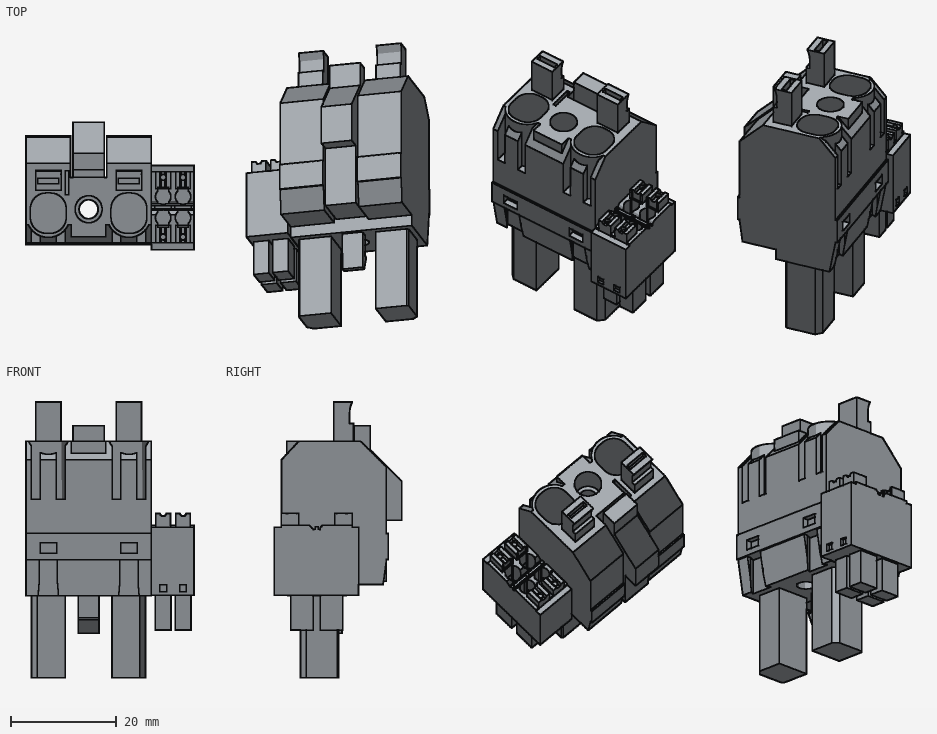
import cadquery as cq
import math


HOUSING_WIDTH = 23.7
HOUSING_HALF_WIDTH = HOUSING_WIDTH / 2
HOUSING_TOP = 44.7
HOUSING_BOTTOM = 15.5
FRONT_Y = -6.3
BACK_Y = 13.55
TOP_FRONT_Y = -2.95
TOP_BACK_Y = 8.65
FRONT_CHAMFER_Z = 41.15
BACK_CHAMFER_DROP = BACK_Y - TOP_BACK_Y
BAND_TOP = 27.3
BAND_BOTTOM = 22.35
BAND_HEIGHT = 0.35
TAPER_FRONT_Y = -5.05
TAPER_BACK_Y = 12.9
STEP_Y = 6.0
STEP_Z = 17.6

POLE_OFFSET = 7.6
POLE_SIDES = (-1, 1)

WIRE_SIZE = (6.8, 7.6)
WIRE_CORNER_RADIUS = 2.95
WIRE_Y = -0.75
WIRE_DEPTH = 15.65
COLLAR_Y = -1.15
COLLAR_RADIUS = 4.15
NOTCH_OUTER = 3.2
NOTCH_INNER = 1.5
NOTCH_BOTTOM = 33.7
NOTCH_BACK_Y = -3.65

BORE_RADIUS = 1.75
COUNTERBORE_RADIUS = 2.55
COUNTERBORE_DEPTH = 6.25
BLOCK_HALF_WIDTH = 3.3
BLOCK_FRONT_Y = -5.15
BLOCK_BOTTOM = 40.65

CODING_SLOT_X = (-4.4, -3.75)
CODING_SLOT_Y = (2.75, 7.3)
CODING_SLOT_DEPTH = 2.1

WINDOW_HALF_WIDTH = 1.55
WINDOW_Z = (23.5, 25.5)
WINDOW_DEPTH = 1.25

GROOVE_MOUTH_HALF = 1.7
GROOVE_INNER_HALF = 2.35
GROOVE_NECK_Y = -5.5
GROOVE_FLOOR_Y = -4.15

LATCH_SLOT_HALF = 3.4
LATCH_HALF_WIDTH = 2.95
LATCH_FRONT_Y = 7.45
LATCH_TOP = 47.65
LATCH_TOP_BACK_Y = 10.55
LATCH_SHOULDER_Z = 43.05
LATCH_GRIP_Y = 16.45
LATCH_GRIP_TOP = LATCH_SHOULDER_Z - (LATCH_GRIP_Y - LATCH_TOP_BACK_Y)
LATCH_GRIP_BOTTOM = 29.75
LATCH_BOTTOM = 18.25

CONTACT_X = (4.4, 10.8)
CONTACT_Y = (-2.7, 4.55)
CONTACT_CHAMFER = 1.1
CONTACT_SMALL_CHAMFER = 0.3

HOOK_HALF_WIDTH = 2.0
HOOK_BACK_Y = 5.15
HOOK_STEM_Y = 3.4
HOOK_LIP_Y = 2.6
HOOK_TIP_Y = 3.9
HOOK_TIP_Z = 8.4
HOOK_LIP_Z = (11.0, 11.35)

LEVER_HALF_WIDTH = 2.4
LEVER_FRONT_Y = 3.6
LEVER_BACK_Y = 7.35
LEVER_TOP = 52.1
LEVER_BOTTOM = 39.1
LEVER_STEP_Z = 48.05
LEVER_NECK_Y = 6.6
LEVER_CURVE_Z = 50.0
LEVER_TIP_Y = 7.15
LEVER_SLOT_SIZE = (3.95, 1.0)
LEVER_SLOT_Y = 5.3
LEVER_SLOT_DEPTH = 1.55

MODULE_WIDTH = 8.1
MODULE_X = (HOUSING_HALF_WIDTH, HOUSING_HALF_WIDTH + MODULE_WIDTH)
MODULE_Y = (-7.65, 8.3)
MODULE_BOTTOM = 15.6
MODULE_TOP = 28.85
LEDGE_Z = 28.45
ROW_MID_Y = 0.39
ROW_DIRECTIONS = (-1, 1)
SIGNAL_X = (14.05, 17.8)
SIGNAL_WIRE_RADIUS = 1.45
SIGNAL_WIRE_OFFSET = 2.0
SIGNAL_CLAMP_WIDTH = 2.05
SIGNAL_WIRE_DEPTH = 6.25
VALLEY_HALF = 0.6
VALLEY_EDGE = 1.45
VALLEY_DEPTH = VALLEY_EDGE - VALLEY_HALF
RIB_HALF = 0.3
RIB_DROP = 0.3
RIB_TOP = MODULE_TOP - RIB_DROP
RIB_POCKET_WIDTH = 3.15
RIB_POCKET_DEPTH = 0.2
TEST_WINDOW_WIDTH = 1.3
TEST_WINDOW_Z = (16.25, 17.6)
TEST_WINDOW_DEPTH = 0.55
SIGNAL_CONTACT_WIDTH = 3.0
SIGNAL_CONTACT_BOTTOM = 9.0
SIGNAL_CONTACT_ROWS = ((-4.55, -0.3), (1.1, 5.3))

BUTTON_WIDTH = 2.8
BUTTON_INNER = 3.45
BUTTON_OUTER = 6.7
BUTTON_TOP = 31.05
BUTTON_BOTTOM = 24.5
BUTTON_NOTCH = 0.3
GROOVE_TOP_HALF = 0.6
GROOVE_BOTTOM_HALF = 0.3
GROOVE_DEPTH = 0.45
PROBE_RADIUS = 0.55
PROBE_OFFSET = 5.65
PROBE_DEPTH = 1.05


def block(xs, ys, zs):
    """Box between two limits along each axis."""
    x0, x1 = min(xs), max(xs)
    y0, y1 = min(ys), max(ys)
    z0, z1 = min(zs), max(zs)
    return cq.Workplane("XY").box(x1 - x0, y1 - y0, z1 - z0, centered=False).translate((x0, y0, z0))


def around(centre, half):
    """Limits at an equal distance on both sides of a centre."""
    return (centre - half, centre + half)


def side_profile(points, xs):
    """Prism along X from an outline of (Y, Z) points."""
    return cq.Workplane("YZ").polyline(points).close().extrude(xs[1] - xs[0]).translate((xs[0], 0, 0))


def cylinder(x, y, radius, zs):
    return cq.Workplane("XY", origin=(x, y, zs[0])).circle(radius).extrude(zs[1] - zs[0])


def housing_shell():
    outline = [
        (TOP_FRONT_Y, HOUSING_TOP),
        (TOP_BACK_Y, HOUSING_TOP),
        (BACK_Y, HOUSING_TOP - BACK_CHAMFER_DROP),
        (BACK_Y, BAND_TOP),
        (BACK_Y + BAND_HEIGHT, BAND_TOP),
        (BACK_Y + BAND_HEIGHT, BAND_BOTTOM),
        (BACK_Y, BAND_BOTTOM),
        (TAPER_BACK_Y, STEP_Z),
        (STEP_Y, STEP_Z),
        (STEP_Y, HOUSING_BOTTOM),
        (TAPER_FRONT_Y, HOUSING_BOTTOM),
        (FRONT_Y, BAND_BOTTOM),
        (FRONT_Y - BAND_HEIGHT, BAND_BOTTOM),
        (FRONT_Y - BAND_HEIGHT, BAND_TOP),
        (FRONT_Y, BAND_TOP),
        (FRONT_Y, FRONT_CHAMFER_Z),
    ]
    return side_profile(outline, around(0, HOUSING_HALF_WIDTH))


def front_notches(pole_x):
    """Two upright notches that lay the collar of a wire entry open."""
    ys = (FRONT_Y, NOTCH_BACK_Y)
    zs = (NOTCH_BOTTOM, HOUSING_TOP)
    left = block((pole_x - NOTCH_OUTER, pole_x - NOTCH_INNER), ys, zs)
    right = block((pole_x + NOTCH_INNER, pole_x + NOTCH_OUTER), ys, zs)
    return left.union(right)


def wire_entry(pole_x):
    """Rounded rectangular entry, cut from the top."""
    hole = cq.Workplane("XY", origin=(pole_x, WIRE_Y, HOUSING_TOP)).rect(*WIRE_SIZE).extrude(-WIRE_DEPTH)
    return hole.edges("|Z").fillet(WIRE_CORNER_RADIUS)


def taper_groove(pole_x):
    mouth_y = FRONT_Y - BAND_HEIGHT
    outline = [
        (pole_x - GROOVE_MOUTH_HALF, mouth_y),
        (pole_x + GROOVE_MOUTH_HALF, mouth_y),
        (pole_x + GROOVE_MOUTH_HALF, GROOVE_NECK_Y),
        (pole_x + GROOVE_INNER_HALF, GROOVE_FLOOR_Y),
        (pole_x - GROOVE_INNER_HALF, GROOVE_FLOOR_Y),
        (pole_x - GROOVE_MOUTH_HALF, GROOVE_NECK_Y),
    ]
    base = cq.Workplane("XY", origin=(0, 0, HOUSING_BOTTOM))
    return base.polyline(outline).close().extrude(BAND_BOTTOM - HOUSING_BOTTOM)


def latch():
    outline = [
        (LATCH_FRONT_Y, LATCH_TOP),
        (LATCH_TOP_BACK_Y, LATCH_TOP),
        (LATCH_TOP_BACK_Y, LATCH_SHOULDER_Z),
        (LATCH_GRIP_Y, LATCH_GRIP_TOP),
        (LATCH_GRIP_Y, LATCH_GRIP_BOTTOM),
        (BACK_Y, LATCH_GRIP_BOTTOM),
        (BACK_Y, LATCH_BOTTOM),
        (LATCH_FRONT_Y, LATCH_BOTTOM),
    ]
    xs = around(0, LATCH_HALF_WIDTH)
    bridge = block(xs, (STEP_Y, LATCH_FRONT_Y), (LATCH_BOTTOM, LATCH_GRIP_BOTTOM))
    return side_profile(outline, xs).union(bridge)


def power_contact(side):
    xs = (side * CONTACT_X[0], side * CONTACT_X[1])
    contact = block(xs, CONTACT_Y, (0, HOUSING_BOTTOM))
    outer = ">X" if side > 0 else "<X"
    contact = contact.edges(f"|Z and {outer} and <Y").chamfer(CONTACT_CHAMFER)
    return contact.edges(f"|Z and {outer} and >Y").chamfer(CONTACT_SMALL_CHAMFER)


def locking_hook():
    outline = [
        (HOOK_BACK_Y, HOUSING_BOTTOM),
        (HOOK_BACK_Y, HOOK_TIP_Z),
        (HOOK_TIP_Y, HOOK_TIP_Z),
        (HOOK_LIP_Y, HOOK_LIP_Z[0]),
        (HOOK_LIP_Y, HOOK_LIP_Z[1]),
        (HOOK_STEM_Y, HOOK_LIP_Z[1]),
        (HOOK_STEM_Y, HOUSING_BOTTOM),
    ]
    return side_profile(outline, around(0, HOOK_HALF_WIDTH))


def lever(pole_x):
    """Lever with a concave thumb rest at the back and a screwdriver slot in its top."""
    body = (
        cq.Workplane("YZ")
        .moveTo(LEVER_FRONT_Y, LEVER_BOTTOM)
        .lineTo(LEVER_BACK_Y, LEVER_BOTTOM)
        .lineTo(LEVER_BACK_Y, LEVER_STEP_Z)
        .lineTo(LEVER_NECK_Y, LEVER_STEP_Z)
        .lineTo(LEVER_NECK_Y, LEVER_CURVE_Z)
        .tangentArcPoint((LEVER_TIP_Y, LEVER_TOP), relative=False)
        .lineTo(LEVER_FRONT_Y, LEVER_TOP)
        .close()
        .extrude(LEVER_HALF_WIDTH, both=True)
        .translate((pole_x, 0, 0))
    )
    slot = cq.Workplane("XY", origin=(pole_x, LEVER_SLOT_Y, LEVER_TOP))
    return body.cut(slot.rect(*LEVER_SLOT_SIZE).extrude(-LEVER_SLOT_DEPTH))


def lever_pocket(pole_x):
    xs = around(pole_x, LEVER_HALF_WIDTH)
    return block(xs, (LEVER_FRONT_Y, LEVER_BACK_Y), (LEVER_BOTTOM, HOUSING_TOP))


def power_housing():
    body = housing_shell()
    body = body.cut(block(around(0, LATCH_SLOT_HALF), (STEP_Y, LATCH_GRIP_Y), (0, HOUSING_TOP)))
    body = body.union(latch())
    block_ys = (BLOCK_FRONT_Y, TOP_FRONT_Y)
    body = body.union(block(around(0, BLOCK_HALF_WIDTH), block_ys, (BLOCK_BOTTOM, HOUSING_TOP)))
    body = body.cut(cylinder(0, 0, BORE_RADIUS, (HOUSING_BOTTOM, HOUSING_TOP)))
    counterbore_zs = (HOUSING_TOP - COUNTERBORE_DEPTH, HOUSING_TOP)
    body = body.cut(cylinder(0, 0, COUNTERBORE_RADIUS, counterbore_zs))
    body = body.cut(block(CODING_SLOT_X, CODING_SLOT_Y, (HOUSING_TOP - CODING_SLOT_DEPTH, HOUSING_TOP)))
    body = body.union(locking_hook())
    band_front = FRONT_Y - BAND_HEIGHT
    for side in POLE_SIDES:
        pole_x = side * POLE_OFFSET
        body = body.cut(front_notches(pole_x))
        body = body.union(cylinder(pole_x, COLLAR_Y, COLLAR_RADIUS, (NOTCH_BOTTOM, HOUSING_TOP)))
        body = body.cut(wire_entry(pole_x))
        body = body.cut(lever_pocket(pole_x))
        window_xs = around(pole_x, WINDOW_HALF_WIDTH)
        body = body.cut(block(window_xs, (band_front, band_front + WINDOW_DEPTH), WINDOW_Z))
        body = body.cut(taper_groove(pole_x))
        body = body.union(power_contact(side))
    return body


def row_y(direction, offset):
    """Y of a place in the back (1) or front (-1) row of signal poles."""
    return ROW_MID_Y + direction * offset


def button_block(x, direction, top):
    ys = (row_y(direction, BUTTON_INNER), row_y(direction, BUTTON_OUTER))
    return block(around(x, BUTTON_WIDTH / 2), ys, (BUTTON_BOTTOM, top))


def push_button(x, direction):
    """Button with a screwdriver groove, a probe hole and a notch beside the wire entry."""
    body = button_block(x, direction, BUTTON_TOP)
    groove = [
        (x - GROOVE_TOP_HALF, BUTTON_TOP),
        (x - GROOVE_BOTTOM_HALF, BUTTON_TOP - GROOVE_DEPTH),
        (x + GROOVE_BOTTOM_HALF, BUTTON_TOP - GROOVE_DEPTH),
        (x + GROOVE_TOP_HALF, BUTTON_TOP),
    ]
    groove_start = cq.Workplane("XZ", origin=(0, ROW_MID_Y, 0))
    groove_cut = groove_start.polyline(groove).close().extrude(-direction * BUTTON_OUTER)
    notch_ys = (row_y(direction, BUTTON_INNER), row_y(direction, BUTTON_INNER + BUTTON_NOTCH))
    notch = block(around(x, SIGNAL_CLAMP_WIDTH / 2), notch_ys, (MODULE_TOP, BUTTON_TOP))
    probe_zs = (BUTTON_TOP - PROBE_DEPTH, BUTTON_TOP)
    probe = cylinder(x, row_y(direction, PROBE_OFFSET), PROBE_RADIUS, probe_zs)
    return body.cut(groove_cut).cut(notch).cut(probe)


def signal_wire_entry(x, direction):
    zs = (MODULE_TOP - SIGNAL_WIRE_DEPTH, MODULE_TOP)
    clamp_ys = (row_y(direction, VALLEY_HALF), row_y(direction, BUTTON_INNER))
    clamp = block(around(x, SIGNAL_CLAMP_WIDTH / 2), clamp_ys, zs)
    return cylinder(x, row_y(direction, SIGNAL_WIRE_OFFSET), SIGNAL_WIRE_RADIUS, zs).union(clamp)


def module_valley():
    """Valley between the two rows, rounded on the back side and sloped on the front side."""
    floor_z = MODULE_TOP - VALLEY_DEPTH
    lead = VALLEY_DEPTH * math.cos(math.radians(45))
    return (
        cq.Workplane("YZ", origin=(MODULE_X[0], 0, 0))
        .moveTo(row_y(-1, VALLEY_EDGE), MODULE_TOP)
        .lineTo(row_y(-1, VALLEY_HALF), floor_z)
        .lineTo(row_y(1, VALLEY_HALF), floor_z)
        .threePointArc(
            (row_y(1, VALLEY_EDGE - lead), floor_z + lead),
            (row_y(1, VALLEY_EDGE), MODULE_TOP),
        )
        .close()
        .extrude(MODULE_WIDTH)
    )


def signal_module():
    body = block(MODULE_X, MODULE_Y, (MODULE_BOTTOM, MODULE_TOP))
    ledge_zs = (LEDGE_Z, MODULE_TOP)
    body = body.cut(block(MODULE_X, (MODULE_Y[0], row_y(-1, BUTTON_OUTER)), ledge_zs))
    body = body.cut(block(MODULE_X, (row_y(1, BUTTON_OUTER), MODULE_Y[1]), ledge_zs))
    body = body.cut(module_valley())
    rib_ys = around(ROW_MID_Y, RIB_HALF)
    body = body.union(block(MODULE_X, rib_ys, (MODULE_TOP - VALLEY_DEPTH, RIB_TOP)))
    pocket_zs = (RIB_TOP - RIB_POCKET_DEPTH, RIB_TOP)
    for x in SIGNAL_X:
        body = body.cut(block(around(x, RIB_POCKET_WIDTH / 2), rib_ys, pocket_zs))
        window_ys = (MODULE_Y[0], MODULE_Y[0] + TEST_WINDOW_DEPTH)
        body = body.cut(block(around(x, TEST_WINDOW_WIDTH / 2), window_ys, TEST_WINDOW_Z))
        for direction in ROW_DIRECTIONS:
            body = body.cut(button_block(x, direction, MODULE_TOP))
            body = body.cut(signal_wire_entry(x, direction))
        contact_xs = around(x, SIGNAL_CONTACT_WIDTH / 2)
        for row in SIGNAL_CONTACT_ROWS:
            body = body.union(block(contact_xs, row, (SIGNAL_CONTACT_BOTTOM, MODULE_BOTTOM)))
    return body


housing = power_housing()
levers = [lever(side * POLE_OFFSET) for side in POLE_SIDES]
module = signal_module()
buttons = [push_button(x, direction) for x in SIGNAL_X for direction in ROW_DIRECTIONS]

result = cq.Compound.makeCompound(
    [
        housing.val(),
        *[body.val() for body in levers],
        module.val(),
        *[body.val() for body in buttons],
    ]
)